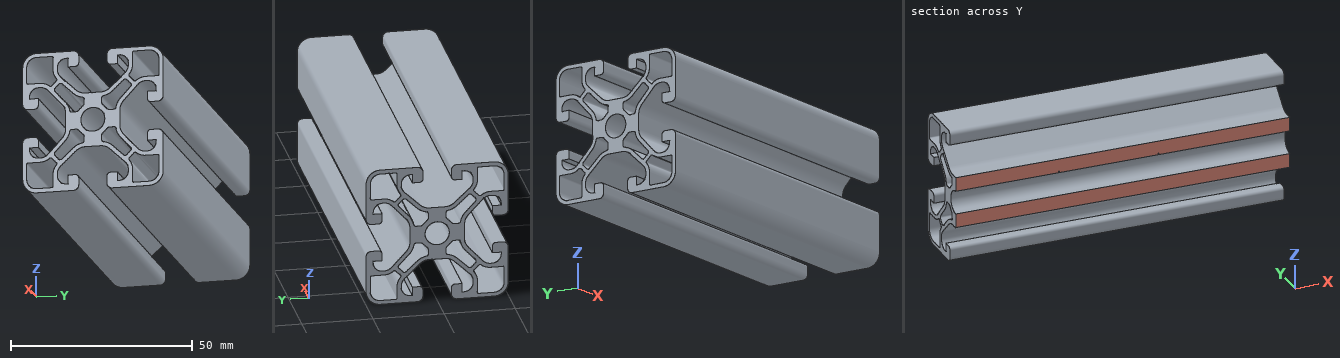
import cadquery as cq
import math

length = 100.0
width = 40.0
half = width / 2
corner_radius = 4.0
bore_radius = 3.4

outer_wall = 1.2
web_wall = 1.2
cross_wall = 1.2

mouth_half = 4.0
lip_depth = 4.5
lip_outer_radius = 1.5
lip_inner_radius = 1.0
hook_x = 7.0
channel_side = 10.1
channel_top = 18.0
channel_upper_radius = 2.6
channel_lower_radius = 3.0
floor_y = 7.7
floor_half = 2.2
floor_radius = 3.8
web_angle = 43.0

cell_arc_sweep = 45.0
cell_small_radius = 0.4

core_inner_sum = 6.9
core_side = 2.5
core_end_radius = 0.6
core_bulb_radius = 0.6
core_inner_radius = 0.8

web_sin = math.sin(math.radians(web_angle))
web_cos = math.cos(math.radians(web_angle))
web_normal = web_angle - 90
floor_center = (floor_half, floor_y + floor_radius)
channel_center_x = channel_side - channel_lower_radius
channel_rise = (
    web_sin * (channel_center_x - floor_half) - floor_radius + channel_lower_radius
) / web_cos
channel_center = (channel_center_x, floor_center[1] + channel_rise)


def arc_point(center, radius, degrees):
    """Point on a circle, at an angle measured from the sideways direction."""
    angle = math.radians(degrees)
    return center[0] + radius * math.cos(angle), center[1] + radius * math.sin(angle)


def swap(point):
    """Reflect a point across the corner diagonal."""
    return point[1], point[0]


def profile():
    return cq.Workplane("YZ")


def prism(outline):
    return outline.extrude(length / 2, both=True)


def round_pair(solid, point, radius):
    """Fillet the lengthwise edge through a point and its reflection across the diagonal."""
    for y, z in (point, swap(point)):
        edge = cq.selectors.NearestToPointSelector((0, y, z))
        solid = solid.edges(edge).fillet(radius)
    return solid


def t_slot():
    """Slot opening towards +Z, drawn as one half and mirrored."""
    lip_y = half - lip_depth
    outline = (
        profile()
        .moveTo(0, half)
        .lineTo(mouth_half + lip_outer_radius, half)
        .radiusArc((mouth_half, half - lip_outer_radius), -lip_outer_radius)
        .lineTo(mouth_half, lip_y + lip_inner_radius)
        .radiusArc((mouth_half + lip_inner_radius, lip_y), -lip_inner_radius)
        .lineTo(hook_x, lip_y)
        .lineTo(hook_x, channel_top)
        .lineTo(channel_side - channel_upper_radius, channel_top)
        .radiusArc((channel_side, channel_top - channel_upper_radius), channel_upper_radius)
        .lineTo(*arc_point(channel_center, channel_lower_radius, 0))
        .radiusArc(arc_point(channel_center, channel_lower_radius, web_normal), channel_lower_radius)
        .lineTo(*arc_point(floor_center, floor_radius, web_normal))
        .radiusArc((floor_half, floor_y), floor_radius)
        .lineTo(0, floor_y)
        .mirrorY()
    )
    return prism(outline)


def cell_cut_point():
    """Where the corner cell's curved wall meets its flat cut across the diagonal."""
    return arc_point(channel_center, channel_lower_radius + web_wall, -cell_arc_sweep)


def corner_cell():
    """Hollow in the +Y +Z corner, following the channel walls at a constant thickness."""
    outer = half - outer_wall
    inner = channel_side + web_wall
    wall_radius = channel_lower_radius + web_wall
    arc_start = (inner, channel_center[1])
    cut_point = cell_cut_point()
    outline = (
        profile()
        .moveTo(outer, outer)
        .lineTo(inner, outer)
        .lineTo(*arc_start)
        .radiusArc(cut_point, wall_radius)
        .lineTo(*swap(cut_point))
        .radiusArc(swap(arc_start), wall_radius)
        .lineTo(outer, inner)
        .close()
    )
    cell = prism(outline)
    cell = round_pair(cell, (inner, outer), cell_small_radius)
    cell = round_pair(cell, cut_point, cell_small_radius)
    return cell.edges(cq.selectors.NearestToPointSelector((0, outer, outer))).fillet(
        corner_radius - outer_wall
    )


def core_hollow():
    """Hollow along the corner diagonal, widening towards the bore."""
    bend_radius = floor_radius + web_wall
    bend_start = arc_point(floor_center, bend_radius, web_normal)
    bend_sweep = math.degrees(math.acos((core_side - floor_half) / bend_radius))
    bend_end = arc_point(floor_center, bend_radius, -bend_sweep)
    inner = (core_side, core_inner_sum - core_side)

    end_sum = sum(cell_cut_point()) - cross_wall * math.sqrt(2)
    web_run = (end_sum - sum(bend_start)) / (web_cos + web_sin)
    end = (bend_start[0] + web_run * web_cos, bend_start[1] + web_run * web_sin)

    outline = (
        profile()
        .moveTo(*end)
        .lineTo(*bend_start)
        .radiusArc(bend_end, bend_radius)
        .lineTo(*inner)
        .lineTo(*swap(inner))
        .lineTo(*swap(bend_end))
        .radiusArc(swap(bend_start), bend_radius)
        .lineTo(*swap(end))
        .close()
    )
    hollow = prism(outline)
    hollow = round_pair(hollow, end, core_end_radius)
    hollow = round_pair(hollow, bend_end, core_bulb_radius)
    return round_pair(hollow, inner, core_inner_radius)


result = prism(profile().rect(width, width))
result = result.edges("|X").fillet(corner_radius)
result = result.cut(prism(profile().circle(bore_radius)))

quarter = t_slot().union(corner_cell()).union(core_hollow())
for turn in range(4):
    result = result.cut(quarter.rotate((0, 0, 0), (1, 0, 0), 90 * turn))